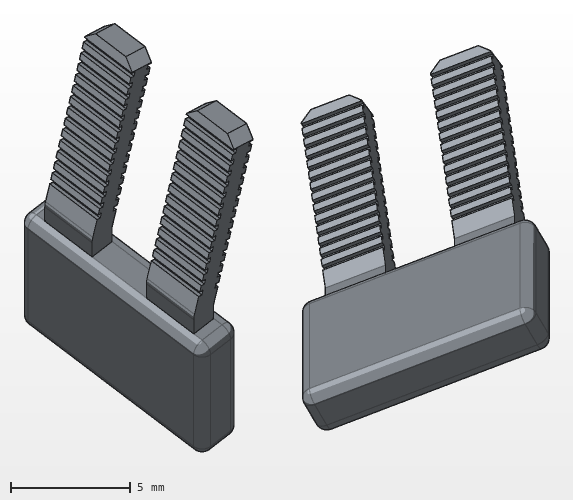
import cadquery as cq
import math

TOTAL_HEIGHT = 17.5
BODY_WIDTH = 10.8
BODY_DEPTH = 2.2
BODY_HEIGHT = 7.0
BODY_ROUND = 0.5

PRONG_WIDTH = 2.8
PRONG_SPACING = 6.0
BEND_ANGLE = 15.0
LEAN_LENGTH = 9.59
TIP_CHAMFER = 0.5

GROOVE_COUNT = 14
GROOVE_SPAN = 7.8
GROOVE_PITCH = GROOVE_SPAN / (GROOVE_COUNT - 1)
TIP_LAND = 0.05
GROOVE_WIDTH = 0.25
GROOVE_DEPTH = 0.2

PRONG_THICKNESS = BODY_DEPTH - 2 * BODY_ROUND

HALF_THICKNESS = PRONG_THICKNESS / 2
LEAN = math.radians(BEND_ANGLE)
BEND_HEIGHT = TOTAL_HEIGHT - LEAN_LENGTH * math.cos(LEAN) - PRONG_THICKNESS * math.sin(LEAN)


def make_body():
    """Block standing on Z = 0 with every edge rounded."""
    block = cq.Workplane("XY").box(BODY_WIDTH, BODY_DEPTH, BODY_HEIGHT, centered=(True, True, False))
    return block.edges().fillet(BODY_ROUND)


def make_root():
    """Upright stretch and bend: sharp at the back, rounded about that corner at the front."""
    def around_bend(angle):
        """Point on the front face after turning by the given angle."""
        return (
            HALF_THICKNESS - PRONG_THICKNESS * math.cos(angle),
            BEND_HEIGHT + PRONG_THICKNESS * math.sin(angle),
        )

    embed_height = BODY_HEIGHT / 2
    return (
        cq.Workplane("YZ")
        .moveTo(HALF_THICKNESS, embed_height)
        .lineTo(-HALF_THICKNESS, embed_height)
        .lineTo(-HALF_THICKNESS, BEND_HEIGHT)
        .threePointArc(around_bend(LEAN / 2), around_bend(LEAN))
        .lineTo(HALF_THICKNESS, BEND_HEIGHT)
        .close()
        .extrude(PRONG_WIDTH / 2, both=True)
    )


def make_leaning_bar():
    """Grooved bar with a chamfered tip, built upright and then tilted back about the bend."""
    bar = (
        cq.Workplane("XY")
        .workplane(offset=BEND_HEIGHT)
        .rect(PRONG_WIDTH, PRONG_THICKNESS)
        .extrude(LEAN_LENGTH)
        .faces(">Z")
        .edges("|Y")
        .chamfer(TIP_CHAMFER)
    )

    first_groove = BEND_HEIGHT + LEAN_LENGTH - TIP_CHAMFER - TIP_LAND - GROOVE_WIDTH / 2
    groove_centres = [
        (0, side * HALF_THICKNESS, first_groove - index * GROOVE_PITCH)
        for side in (-1, 1)
        for index in range(GROOVE_COUNT)
    ]
    grooves = (
        cq.Workplane("XY")
        .pushPoints(groove_centres)
        .box(PRONG_WIDTH, 2 * GROOVE_DEPTH, GROOVE_WIDTH)
    )
    bend_axis_start = (0, HALF_THICKNESS, BEND_HEIGHT)
    bend_axis_end = (1, HALF_THICKNESS, BEND_HEIGHT)
    return bar.cut(grooves).rotate(bend_axis_start, bend_axis_end, -BEND_ANGLE)


prong = make_root().union(make_leaning_bar())

result = make_body()
for side in (-1, 1):
    result = result.union(prong.translate((side * PRONG_SPACING / 2, 0, 0)))